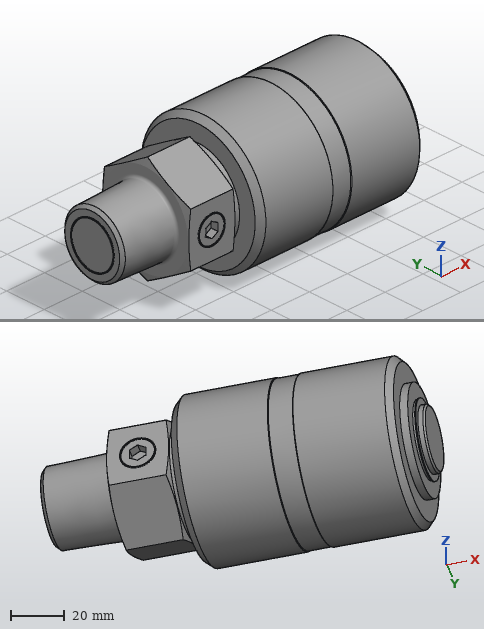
import cadquery as cq
import math

overall_length = 149.2

thread_end = 26.5
thread_chamfer = 1.5
thread_small_radius = 16.1
thread_taper = 1 / 32
root_fillet = 1.5

hex_start = thread_end + root_fillet
hex_end = 52.4
hex_across_flats = 46.0
hex_corner_radius = hex_across_flats / math.sqrt(3)
hex_face_radius = 22.7
hex_chamfer_length = 1.0

body_start = 55.5
body_end = 142.0
body_radius = 66.4 / 2
body_chamfer_height = 2.7
front_chamfer_length = 3.0
rear_chamfer_length = 2.7
collar_radius = 44.5 / 2
collar_end = 145.2

band_start = 93.7
band_end = 103.7
band_radius = 65.8 / 2
band_depth = body_radius - band_radius

neck_radius = 15.5
ring_start = 146.0
ring_end = 146.5
ring_radius = 16.0
cap_radius = 26.5 / 2
cap_chamfer = 0.7

end_plug_radius = 11.5

screw_radius = 7.0
screw_x = (hex_start + hex_end) / 2
socket_across_flats = 6.4
socket_depth = 3.7

joint_width = 0.5
joint_depth = 0.5


def make_turned_body():
    thread_large_radius = thread_small_radius + thread_taper * (thread_end - thread_chamfer)
    fillet_drop = root_fillet * (1 - math.sqrt(0.5))
    profile = (
        cq.Workplane("XY")
        .moveTo(0, 0)
        .lineTo(0, thread_small_radius - thread_chamfer)
        .lineTo(thread_chamfer, thread_small_radius)
        .lineTo(thread_end, thread_large_radius)
        .threePointArc(
            (hex_start - fillet_drop, thread_large_radius + fillet_drop),
            (hex_start, thread_large_radius + root_fillet),
        )
        .lineTo(hex_start, collar_radius)
        .lineTo(body_start, collar_radius)
        .lineTo(body_start, body_radius - body_chamfer_height)
        .lineTo(body_start + front_chamfer_length, body_radius)
        .lineTo(band_start, body_radius)
        .lineTo(band_start + band_depth, band_radius)
        .lineTo(band_end - band_depth, band_radius)
        .lineTo(band_end, body_radius)
        .lineTo(body_end - rear_chamfer_length, body_radius)
        .lineTo(body_end, body_radius - body_chamfer_height)
        .lineTo(body_end, collar_radius)
        .lineTo(collar_end, collar_radius)
        .lineTo(collar_end, neck_radius)
        .lineTo(ring_start, neck_radius)
        .lineTo(ring_start, ring_radius)
        .lineTo(ring_end, ring_radius)
        .lineTo(ring_end, cap_radius)
        .lineTo(overall_length - cap_chamfer, cap_radius)
        .lineTo(overall_length, cap_radius - cap_chamfer)
        .lineTo(overall_length, 0)
        .close()
    )
    return profile.revolve(360, (0, 0, 0), (1, 0, 0))


def hexagon_points(corner_radius):
    """Corners of a hexagon with two corners on the vertical axis of its plane."""
    angles = [math.radians(30 + 60 * i) for i in range(6)]
    return [(corner_radius * math.cos(a), corner_radius * math.sin(a)) for a in angles]


def make_hexagon():
    prism = (
        cq.Workplane("YZ", origin=(hex_start, 0, 0))
        .polyline(hexagon_points(hex_corner_radius))
        .close()
        .extrude(hex_end - hex_start)
    )
    chamfer_envelope = (
        cq.Workplane("XY")
        .moveTo(hex_start, 0)
        .lineTo(hex_start, hex_face_radius)
        .lineTo(hex_start + hex_chamfer_length, hex_corner_radius)
        .lineTo(hex_end - hex_chamfer_length, hex_corner_radius)
        .lineTo(hex_end, hex_face_radius)
        .lineTo(hex_end, 0)
        .close()
        .revolve(360, (0, 0, 0), (1, 0, 0))
    )
    return prism.intersect(chamfer_envelope)


def make_plug_joint(plane, outer_radius):
    """Thin ring cut from the face of a flush plug; the plane normal points into the part."""
    return cq.Workplane(plane).circle(outer_radius).circle(outer_radius - joint_width).extrude(joint_depth)


def make_screw_socket(plane):
    corner_radius = socket_across_flats / math.sqrt(3)
    return cq.Workplane(plane).polyline(hexagon_points(corner_radius)).close().extrude(socket_depth)


end_plane = cq.Plane(origin=(0, 0, 0), xDir=(0, 1, 0), normal=(1, 0, 0))
screw_plane = cq.Plane(origin=(screw_x, -hex_across_flats / 2, 0), xDir=(1, 0, 0), normal=(0, 1, 0))

result = make_turned_body().union(make_hexagon())
result = result.cut(make_plug_joint(end_plane, end_plug_radius))
result = result.cut(make_plug_joint(screw_plane, screw_radius))
result = result.cut(make_screw_socket(screw_plane))